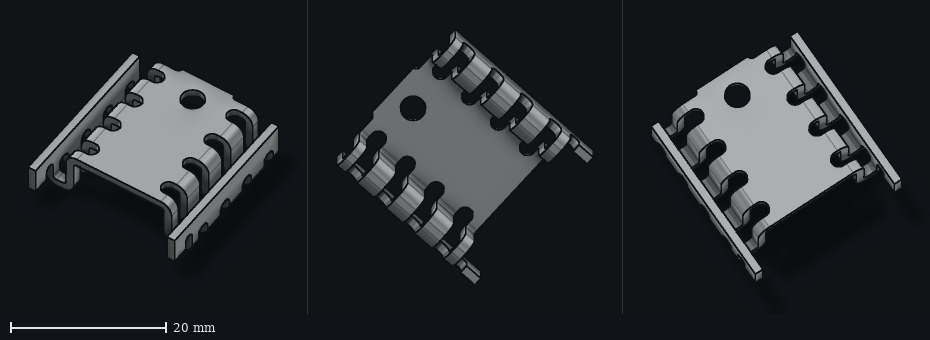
import cadquery as cq

width = 22.8
length = 24.6
height = 7.0

sheet = 1.2
channel_gap = 2.0
inner_radius = 0.5
outer_radius = inner_radius + sheet
fin_top_z = 6.2

tab_length = 0.6
fin_overhang = 4.0
front_y = -length / 2
plate_front_y = front_y + fin_overhang
plate_rear_y = length / 2 - tab_length
plate_length = plate_rear_y - plate_front_y

tab_width = 8.07

slot_count = 4
slot_pitch = 5.02
slot_width = 2.02
slot_rear_shift = 0.1
slot_middle_y = (plate_front_y + plate_rear_y) / 2 + slot_rear_shift
slot_tip_x = 5.0
slot_fin_top_z = 3.17

relief_width = 1.5
relief_top_z = 4.2
overhang_bottom_z = 2.16

hole_diameter = 3.2
hole_rear_distance = 3.0

fin_outer_x = width / 2
fin_inner_x = fin_outer_x - sheet
leg_outer_x = fin_inner_x - channel_gap
leg_inner_x = leg_outer_x - sheet


def box(x_min, x_max, y_min, y_max, z_min, z_max):
    """Block between two opposite corners."""
    size = (x_max - x_min, y_max - y_min, z_max - z_min)
    return cq.Workplane("XY").box(*size, centered=False).translate((x_min, y_min, z_min))


def fillet_corners(body, corners, radius):
    """Round the edges along Y that pass through the given (x, z) corners."""
    reach = sheet / 4
    for x, z in corners:
        near_corner = cq.selectors.BoxSelector(
            (x - reach, -length, z - reach),
            (x + reach, length, z + reach),
        )
        body = body.edges("|Y").edges(near_corner).fillet(radius)
    return body


def bent_sheet():
    """Plate with a U-shaped channel and an upright fin along each side."""
    right_section = [
        (0, height - sheet),
        (leg_inner_x, height - sheet),
        (leg_inner_x, 0),
        (fin_outer_x, 0),
        (fin_outer_x, fin_top_z),
        (fin_inner_x, fin_top_z),
        (fin_inner_x, sheet),
        (leg_outer_x, sheet),
        (leg_outer_x, height),
        (0, height),
    ]
    outer_corners = [(fin_outer_x, 0), (leg_inner_x, 0), (leg_outer_x, height)]
    inner_corners = [(fin_inner_x, sheet), (leg_outer_x, sheet), (leg_inner_x, height - sheet)]

    rear_plane = cq.Workplane("XZ", origin=(0, plate_rear_y, 0))
    right = rear_plane.polyline(right_section).close().extrude(plate_length)
    right = fillet_corners(right, outer_corners, outer_radius)
    right = fillet_corners(right, inner_corners, inner_radius)
    return right.union(right.mirror("YZ")).clean()


def fin_overhangs():
    """Fin ends reaching forward of the plate."""
    right = box(fin_inner_x, fin_outer_x, front_y, plate_front_y, overhang_bottom_z, fin_top_z)
    return right.union(right.mirror("YZ"))


def rear_tab():
    """Step at the rear edge of the plate, with hollow quarter-round ends."""
    tip_x = tab_width / 2
    root_x = tip_x + tab_length
    tab_rear_y = plate_rear_y + tab_length
    return (
        cq.Workplane("XY", origin=(0, 0, height - sheet))
        .moveTo(-root_x, plate_rear_y)
        .radiusArc((-tip_x, tab_rear_y), -tab_length)
        .lineTo(tip_x, tab_rear_y)
        .radiusArc((root_x, plate_rear_y), -tab_length)
        .close()
        .extrude(sheet)
    )


def round_topped_cut(y_center, cut_width, top_z, x_min, x_max):
    """Upright cutter running along X, open below, with a round top."""
    radius = cut_width / 2
    return (
        cq.Workplane("YZ", origin=(x_min, 0, 0))
        .moveTo(y_center - radius, 0)
        .lineTo(y_center - radius, top_z - radius)
        .threePointArc((y_center, top_z), (y_center + radius, top_z - radius))
        .lineTo(y_center + radius, 0)
        .close()
        .extrude(x_max - x_min)
    )


def cooling_slot(y_center):
    """Slot from the plate over both bends and up into the right fin."""
    radius = slot_width / 2
    y_min = y_center - radius
    y_max = y_center + radius
    tip_center_x = slot_tip_x + radius
    through_plate = box(tip_center_x, fin_inner_x, y_min, y_max, 0, height)
    tip = cq.Workplane("XY").center(tip_center_x, y_center).circle(radius).extrude(height)
    through_fin = round_topped_cut(y_center, slot_width, slot_fin_top_z, leg_outer_x, fin_outer_x)
    return through_plate.union(tip).union(through_fin)


result = bent_sheet().union(fin_overhangs()).union(rear_tab())

for index in range(slot_count):
    slot_y = slot_middle_y + (index - (slot_count - 1) / 2) * slot_pitch
    slot = cooling_slot(slot_y)
    result = result.cut(slot).cut(slot.mirror("YZ"))

relief_y = plate_front_y - relief_width / 2
result = result.cut(round_topped_cut(relief_y, relief_width, relief_top_z, -fin_outer_x, fin_outer_x))

mounting_hole = (
    cq.Workplane("XY")
    .center(0, plate_rear_y - hole_rear_distance)
    .circle(hole_diameter / 2)
    .extrude(height)
)
result = result.cut(mounting_hole)